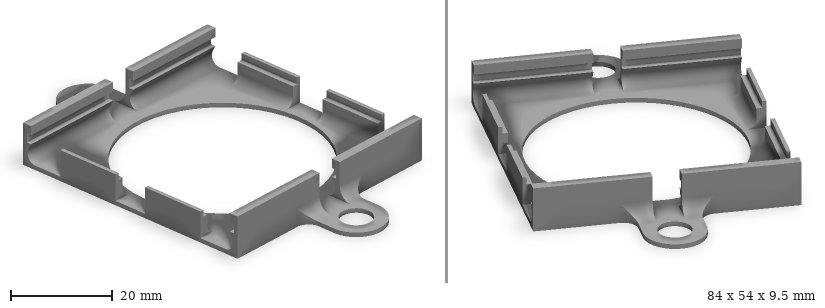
import cadquery as cq
import math

overall_length = 84.0
plate_length = 56.95
plate_width = 54.0
plate_thickness = 1.0
opening_diameter = 45.0

lug_radius = 6.5
lug_hole_diameter = 7.0
lug_fillet = 3.0

wall_height = 9.5
wall_gap = 5.9
lip_depth = 2.1
lip_height = 2.1
groove_wall = 1.0
ledge_height = 5.4
wall_waist = 1.2
inner_fillet = 2.0

tab_height = 7.0
tab_length = 14.7
tab_spacing = 22.5
tab_thickness = 2.0
tab_top_thickness = 0.8
tab_ledge_height = 5.5

half_length = plate_length / 2
half_width = plate_width / 2
lug_center = overall_length / 2 - lug_radius
quarter_turn = math.sqrt(0.5)


def both_ends(body):
    """Return the body together with its copy half a turn around Z."""
    return body.union(body.rotate((0, 0, 0), (0, 0, 1), 180))


def make_plate():
    return cq.Workplane("XY").box(
        plate_length, plate_width, plate_thickness, centered=(True, True, False)
    )


def make_wall():
    """Clip wall on the -X side: lip, groove, sloping ledge and filleted foot."""
    outer = -half_length
    center_x = outer + wall_waist + inner_fillet
    center_z = plate_thickness + inner_fillet
    ledge_x = outer + lip_depth

    to_ledge_x = ledge_x - center_x
    to_ledge_z = ledge_height - center_z
    ledge_distance = math.hypot(to_ledge_x, to_ledge_z)
    tangent_angle = math.atan2(to_ledge_z, to_ledge_x) + math.acos(inner_fillet / ledge_distance)
    foot_angle = 1.5 * math.pi
    middle_angle = (tangent_angle + foot_angle) / 2

    def on_fillet(angle):
        return (
            center_x + inner_fillet * math.cos(angle),
            center_z + inner_fillet * math.sin(angle),
        )

    return (
        cq.Workplane("XZ")
        .moveTo(outer, 0)
        .lineTo(outer, wall_height)
        .lineTo(ledge_x, wall_height)
        .lineTo(ledge_x, wall_height - lip_height)
        .lineTo(outer + groove_wall, wall_height - lip_height)
        .lineTo(outer + groove_wall, ledge_height)
        .lineTo(ledge_x, ledge_height)
        .lineTo(*on_fillet(tangent_angle))
        .threePointArc(on_fillet(middle_angle), on_fillet(foot_angle))
        .lineTo(center_x, 0)
        .close()
        .extrude(half_width, both=True)
    )


def make_lug():
    """Rounded -X lug, blended into the plate edge and up the clip wall."""
    edge = -half_length
    blend_start = edge - lug_fillet
    blend_width = lug_radius + lug_fillet
    blend_middle = lug_fillet * (1 - quarter_turn)
    plan = (
        cq.Workplane("XY")
        .moveTo(edge, blend_width)
        .threePointArc((edge - blend_middle, lug_radius + blend_middle), (blend_start, lug_radius))
        .lineTo(-lug_center, lug_radius)
        .threePointArc((-overall_length / 2, 0), (-lug_center, -lug_radius))
        .lineTo(blend_start, -lug_radius)
        .threePointArc((edge - blend_middle, -lug_radius - blend_middle), (edge, -blend_width))
        .close()
        .extrude(plate_thickness + lug_fillet)
    )
    profile = (
        cq.Workplane("XZ")
        .moveTo(-overall_length / 2, 0)
        .lineTo(-overall_length / 2, plate_thickness)
        .lineTo(blend_start, plate_thickness)
        .threePointArc(
            (edge - blend_middle, plate_thickness + blend_middle),
            (edge, plate_thickness + lug_fillet),
        )
        .lineTo(edge, 0)
        .close()
        .extrude(blend_width, both=True)
    )
    return plan.intersect(profile)


def make_tab(center_x):
    """Stepped tab on the -Y side with a filleted foot."""
    outer = -half_width
    inner = outer + tab_thickness
    fillet_middle = inner_fillet * (1 - quarter_turn)
    return (
        cq.Workplane("YZ", origin=(center_x, 0, 0))
        .moveTo(outer, 0)
        .lineTo(outer, tab_height)
        .lineTo(outer + tab_top_thickness, tab_height)
        .lineTo(outer + tab_top_thickness, tab_ledge_height)
        .lineTo(inner, tab_ledge_height)
        .lineTo(inner, plate_thickness + inner_fillet)
        .threePointArc(
            (inner + fillet_middle, plate_thickness + fillet_middle),
            (inner + inner_fillet, plate_thickness),
        )
        .lineTo(inner + inner_fillet, 0)
        .close()
        .extrude(tab_length / 2, both=True)
    )


def make_wall_gap():
    """Clearance that splits each clip wall and its blend down to the plate."""
    return (
        cq.Workplane("XY")
        .workplane(offset=plate_thickness)
        .box(overall_length, wall_gap, wall_height, centered=(True, True, False))
    )


def make_holes():
    lug_holes = (
        cq.Workplane("XY")
        .pushPoints([(-lug_center, 0), (lug_center, 0)])
        .circle(lug_hole_diameter / 2)
        .extrude(plate_thickness)
    )
    opening = cq.Workplane("XY").circle(opening_diameter / 2).extrude(plate_thickness)
    return lug_holes.union(opening)


body = make_plate()
body = body.union(both_ends(make_wall()))
body = body.union(both_ends(make_lug()))
for tab_center in (-tab_spacing / 2, tab_spacing / 2):
    body = body.union(both_ends(make_tab(tab_center)))

result = body.cut(make_wall_gap()).cut(make_holes())